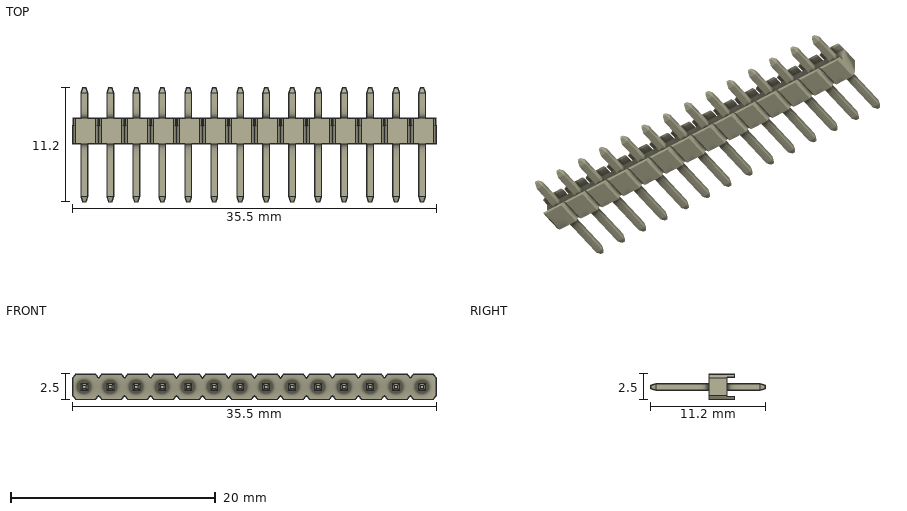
import cadquery as cq

pin_count = 14
strip_length = 35.55
strip_height = 2.5
strip_depth = 2.52
pitch = strip_length / pin_count

corner_width = 0.302
corner_height = 0.4

channel_depth = 0.75
lip_thickness = 0.32

pin_width = 0.68
pin_tip_width = 0.32
pin_taper_length = 0.55
pin_front_length = 5.7
pin_rear_length = 3.0
pin_offset_x = -0.125
pin_offset_z = -0.018

block_centres = [(i + 0.5) * pitch - strip_length / 2 for i in range(pin_count)]


def block_edge_points(side):
    """Outline of the strip along its top (side = 1) or bottom (side = -1), from -X to +X."""
    outer_z = side * strip_height / 2
    notch_z = outer_z - side * corner_height
    points = [(-strip_length / 2, notch_z)]
    for x in block_centres:
        points.append((x - pitch / 2 + corner_width, outer_z))
        points.append((x + pitch / 2 - corner_width, outer_z))
        points.append((x + pitch / 2, notch_z))
    return points


def make_strip():
    """Notched plastic strip with the rear channel cut along its full length."""
    outline = block_edge_points(1) + block_edge_points(-1)[::-1]
    strip = cq.Workplane("XZ", origin=(0, strip_depth, 0)).polyline(outline).close().extrude(strip_depth)
    channel = cq.Workplane("XY").box(
        strip_length,
        channel_depth,
        strip_height - 2 * lip_thickness,
    )
    return strip.cut(channel.translate((0, strip_depth - channel_depth / 2, 0)))


def make_pin_half(length, direction):
    """Half a pin with a tapered tip, running from Y = 0 along +Y or -Y."""
    plane = cq.Plane(origin=(0, 0, 0), xDir=(1, 0, 0), normal=(0, direction, 0))
    return (
        cq.Workplane(plane)
        .rect(pin_width, pin_width)
        .extrude(length - pin_taper_length)
        .faces(">Y" if direction > 0 else "<Y")
        .workplane()
        .rect(pin_width, pin_width)
        .workplane(offset=pin_taper_length)
        .rect(pin_tip_width, pin_tip_width)
        .loft(combine=True)
    )


def make_pin():
    """Whole pin, through the strip and out of both faces."""
    front_half = make_pin_half(pin_front_length, -1)
    rear_half = make_pin_half(strip_depth + pin_rear_length, 1)
    return front_half.union(rear_half)


result = make_strip()
pin = make_pin()
for centre_x in block_centres:
    result = result.union(pin.translate((centre_x + pin_offset_x, 0, pin_offset_z)))